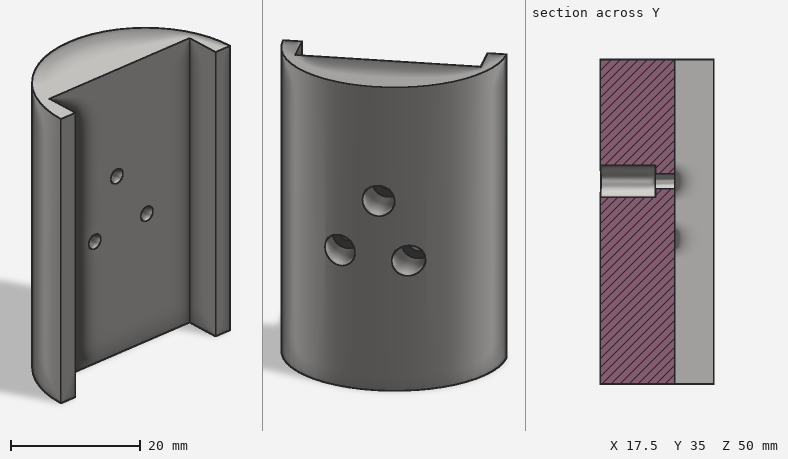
import cadquery as cq
import math

outer_radius = 17.5
height = 50.0

channel_width = 29.0
channel_depth = 6.0

hole_count = 3
hole_circle_radius = 6.25
first_hole_angle = 5.0
hole_diameter = 2.5
counterbore_diameter = 5.0
seat_thickness = 3.0

channel_floor_x = -channel_depth
counterbore_floor_x = channel_floor_x - seat_thickness


def half_round_body():
    """Solid half cylinder on the -X side, centered on Z = 0."""
    return (
        cq.Workplane("XY")
        .workplane(offset=-height / 2)
        .moveTo(0, outer_radius)
        .threePointArc((-outer_radius, 0), (0, -outer_radius))
        .close()
        .extrude(height)
    )


def channel():
    """Rectangular channel running the full height of the flat side."""
    return cq.Workplane("XY").box(channel_depth, channel_width, height).translate((-channel_depth / 2, 0, 0))


def x_cylinder(diameter, end_x, y, z):
    """Cylinder along X from the outermost point of the body to end_x."""
    return (
        cq.Workplane("YZ", origin=(-outer_radius, y, z))
        .circle(diameter / 2)
        .extrude(end_x + outer_radius)
    )


def screw_hole(y, z):
    """Through hole with a flat-bottomed counterbore entering from the round side."""
    through_hole = x_cylinder(hole_diameter, channel_floor_x, y, z)
    counterbore = x_cylinder(counterbore_diameter, counterbore_floor_x, y, z)
    return through_hole.union(counterbore)


result = half_round_body().cut(channel())
for index in range(hole_count):
    angle = math.radians(first_hole_angle + index * 360 / hole_count)
    hole_y = -hole_circle_radius * math.sin(angle)
    hole_z = hole_circle_radius * math.cos(angle)
    result = result.cut(screw_hole(hole_y, hole_z))